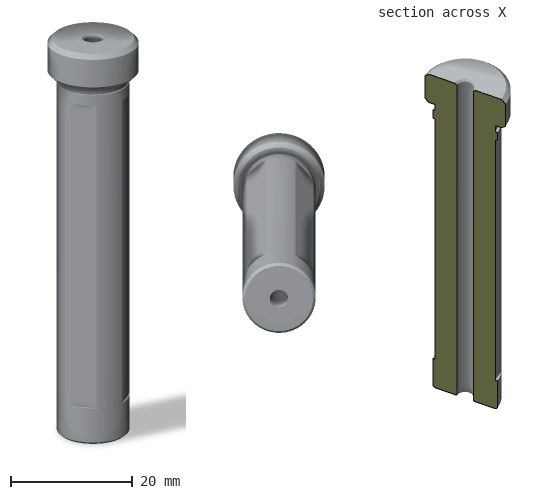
import cadquery as cq

total_height = 69.85
head_diameter = 15.0
head_height = 6.4
head_chamfer = 0.8

shank_diameter = 12.0
shank_chamfer = 0.4
neck_diameter = 11.25
neck_height = 1.25

flat_bottom = 6.5
flat_top = 60.3
flat_distance = 5.6
flat_count = 4

bore_diameter = 3.0
bore_chamfer = 0.35

head_bottom = total_height - head_height
shank_height = head_bottom - neck_height


def cylinder(diameter, bottom, height):
    return cq.Workplane("XY").workplane(offset=bottom).circle(diameter / 2).extrude(height)


def flat_cutter(angle):
    """Block that removes everything outside one flat."""
    block = cq.Workplane("XY").box(
        shank_diameter, shank_diameter, flat_top - flat_bottom, centered=(False, True, False)
    )
    return block.translate((flat_distance, 0, flat_bottom)).rotate((0, 0, 0), (0, 0, 1), angle)


shank = cylinder(shank_diameter, 0, shank_height).faces("<Z").chamfer(shank_chamfer)
for index in range(flat_count):
    shank = shank.cut(flat_cutter(index * 360 / flat_count))

neck = cylinder(neck_diameter, shank_height, neck_height)
head = cylinder(head_diameter, head_bottom, head_height).edges().chamfer(head_chamfer)
pin = shank.union(neck).union(head)

bore = cylinder(bore_diameter, 0, total_height)
mouth_solid = cq.Solid.makeCone(
    bore_diameter / 2,
    bore_diameter / 2 + bore_chamfer,
    bore_chamfer,
    pnt=cq.Vector(0, 0, total_height - bore_chamfer),
)
result = pin.cut(bore).cut(cq.Workplane("XY").add(mouth_solid))